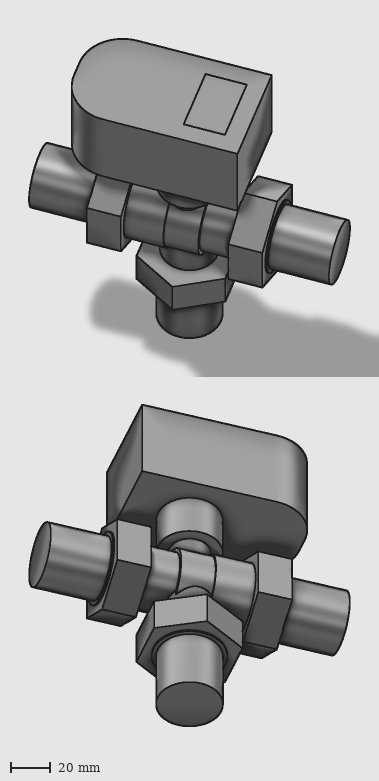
import cadquery as cq


pipe_radius = 16.8
pipe_length = 32.2
collar_radius = 19.0
collar_length = 0.8
nut_corner_diameter = 54.5
nut_length = 18.0
union_length = nut_length + collar_length + pipe_length
run_half_length = 79.5
branch_length = 77.5

run_nut_start = run_half_length - union_length
branch_nut_start = branch_length - union_length
inlet_radius = 19.5
outlet_radius = 16.5
middle_radius = 18.7
middle_start_x = -7.4
middle_end_x = 10.8
branch_radius = 15.0

neck_radius = 10.8
sleeve_radius = 16.7
sleeve_bottom_z = 24.1

housing_bottom_z = 46.3
housing_top_z = 91.0
housing_left_x = -59.8
housing_right_x = 34.5
housing_width = nut_corner_diameter
housing_corner_radius = 23.0

label_length = 21.9
label_width = 34.7
label_center_x = 13.6
label_depth = 0.2


def pipe_union(origin, direction, corner_direction, start):
    """Hexagonal nut, thin collar and pipe end, stacked outward from the nut's inner face."""
    base = cq.Workplane(cq.Plane(origin=origin, xDir=corner_direction, normal=direction))
    nut = base.workplane(offset=start).polygon(6, nut_corner_diameter).extrude(nut_length)
    collar_start = start + nut_length
    collar = base.workplane(offset=collar_start).circle(collar_radius).extrude(collar_length)
    pipe_start = collar_start + collar_length
    pipe = base.workplane(offset=pipe_start).circle(pipe_radius).extrude(pipe_length)
    return nut.union(collar).union(pipe)


def valve_run():
    """Horizontal body that steps down from the wide inlet to the narrow outlet."""
    return (
        cq.Workplane("XY")
        .moveTo(-run_nut_start, 0)
        .lineTo(-run_nut_start, inlet_radius)
        .lineTo(middle_start_x, inlet_radius)
        .lineTo(middle_start_x, middle_radius)
        .lineTo(middle_end_x, middle_radius)
        .lineTo(middle_end_x, outlet_radius)
        .lineTo(run_nut_start, outlet_radius)
        .lineTo(run_nut_start, 0)
        .close()
        .revolve(360, (0, 0, 0), (1, 0, 0))
    )


def stem():
    """Neck rising from the run axis into the wider sleeve under the housing."""
    neck = cq.Workplane("XY").circle(neck_radius).extrude(sleeve_bottom_z)
    sleeve = (
        cq.Workplane("XY")
        .workplane(offset=sleeve_bottom_z)
        .circle(sleeve_radius)
        .extrude(housing_bottom_z - sleeve_bottom_z)
    )
    return neck.union(sleeve)


def actuator_housing():
    """Block with two rounded corners at -X and a shallow label recess on top."""
    length = housing_right_x - housing_left_x
    block = (
        cq.Workplane("XY")
        .workplane(offset=housing_bottom_z)
        .center((housing_left_x + housing_right_x) / 2, 0)
        .rect(length, housing_width)
        .extrude(housing_top_z - housing_bottom_z)
        .edges("|Z and <X")
        .fillet(housing_corner_radius)
    )
    label = (
        cq.Workplane("XY")
        .workplane(offset=housing_top_z - label_depth)
        .center(label_center_x, 0)
        .rect(label_length, label_width)
        .extrude(label_depth)
    )
    return block.cut(label)


center = (0, 0, 0)
branch = cq.Workplane("XY").circle(branch_radius).extrude(-branch_nut_start)

result = valve_run().union(branch).union(stem()).union(actuator_housing())
for side in (-1, 1):
    result = result.union(pipe_union(center, (side, 0, 0), (0, 0, 1), run_nut_start))
result = result.union(pipe_union(center, (0, 0, -1), (0, 1, 0), branch_nut_start))